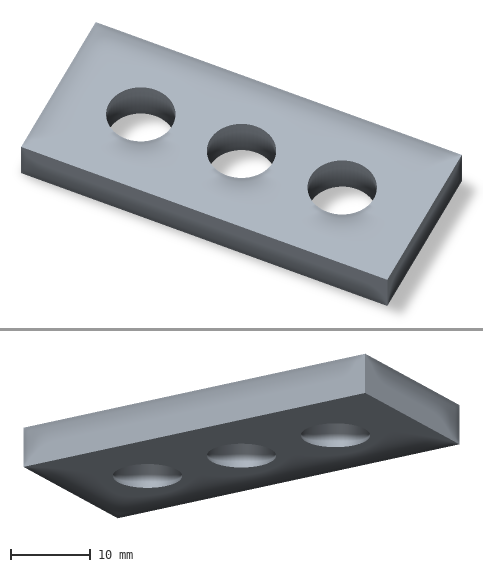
import cadquery as cq

length = 50.8
width = 22.23
thickness = 5.25

hole_diameter = 8.73
hole_count = 3
hole_pitch = 13.97


def make_plate():
    return cq.Workplane("XY").box(length, width, thickness)


def drill_hole_row(plate):
    return (
        plate.faces(">Z")
        .workplane()
        .rarray(hole_pitch, 1, hole_count, 1)
        .hole(hole_diameter)
    )


result = drill_hole_row(make_plate())